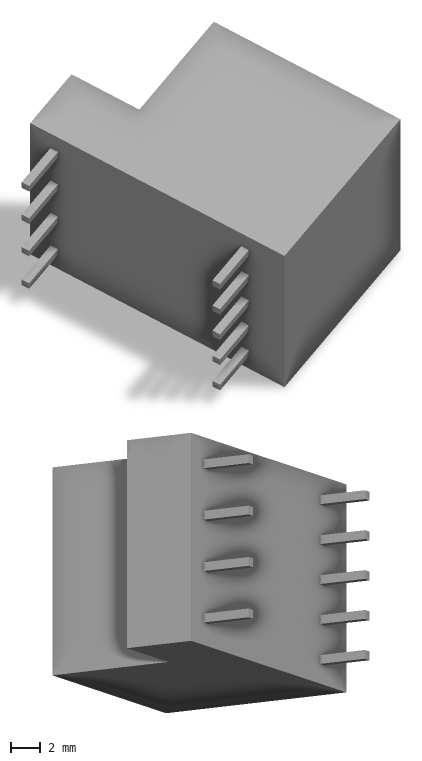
import cadquery as cq

HOUSING_LENGTH = 20.45
HOUSING_DEPTH = 14.0
HOUSING_HEIGHT = 14.2
TALL_BLOCK_LENGTH = 15.0
STEP_LENGTH = HOUSING_LENGTH - TALL_BLOCK_LENGTH
STEP_DEPTH = 5.0

PIN_WIDTH = 0.6
PIN_LENGTH = 3.5
STEP_ROW_X = 1.945
STEP_ROW_COUNT = 4
STEP_ROW_PITCH = 3.51
FAR_ROW_X = 17.29
FAR_ROW_COUNT = 5
FAR_ROW_PITCH = 2.725

PAD_LENGTH = 1.48
PAD_WIDTH = 1.0
PAD_DEPTH = 0.5
PAD_END_INSET = 0.47
STEP_PAD_Z = 3.5
CORNER_PAD_SIDE_INSET = 0.6
CORNER_PAD_ROUNDING = 0.5

SIDES = (1, -1)


def make_housing_block():
    """L-shaped block, extruded along Z both ways from the middle plane."""
    return (
        cq.Workplane("XY")
        .polyline([
            (0, 0),
            (HOUSING_LENGTH, 0),
            (HOUSING_LENGTH, HOUSING_DEPTH),
            (STEP_LENGTH, HOUSING_DEPTH),
            (STEP_LENGTH, STEP_DEPTH),
            (0, STEP_DEPTH),
        ])
        .close()
        .extrude(HOUSING_HEIGHT / 2, both=True)
    )


def make_pin_row(x, count, pitch):
    """Row of square pins along Z, pointing toward -Y from the mounting face."""
    first_z = -pitch * (count - 1) / 2
    pin_centres = [(x, first_z + i * pitch) for i in range(count)]
    return (
        cq.Workplane("XZ")
        .pushPoints(pin_centres)
        .rect(PIN_WIDTH, PIN_WIDTH)
        .extrude(PIN_LENGTH)
    )


def make_step_pad(side):
    """D-shaped pad near the step end, its round end pointing toward +X."""
    round_end_x = PAD_END_INSET + PAD_LENGTH
    arc_start_x = round_end_x - PAD_WIDTH / 2
    centre_z = side * STEP_PAD_Z
    low_z = centre_z - PAD_WIDTH / 2
    high_z = centre_z + PAD_WIDTH / 2
    return (
        cq.Workplane("XZ")
        .moveTo(PAD_END_INSET, low_z)
        .lineTo(arc_start_x, low_z)
        .threePointArc((round_end_x, centre_z), (arc_start_x, high_z))
        .lineTo(PAD_END_INSET, high_z)
        .close()
        .extrude(-PAD_DEPTH)
    )


def make_corner_pad(side):
    """Upright pad in a far corner, rounded on its corner nearest the housing centre."""
    centre_x = HOUSING_LENGTH - PAD_END_INSET - PAD_WIDTH / 2
    centre_z = side * (HOUSING_HEIGHT / 2 - CORNER_PAD_SIDE_INSET - PAD_LENGTH / 2)
    inner_edge = "<Z" if side > 0 else ">Z"
    return (
        cq.Workplane("XZ", origin=(centre_x, 0, centre_z))
        .rect(PAD_WIDTH, PAD_LENGTH)
        .extrude(-PAD_DEPTH)
        .faces("<X")
        .edges(inner_edge)
        .fillet(CORNER_PAD_ROUNDING)
    )


step_pads = [make_step_pad(side) for side in SIDES]
corner_pads = [make_corner_pad(side) for side in SIDES]
pads = step_pads + corner_pads

housing = make_housing_block()
housing = housing.union(make_pin_row(STEP_ROW_X, STEP_ROW_COUNT, STEP_ROW_PITCH))
housing = housing.union(make_pin_row(FAR_ROW_X, FAR_ROW_COUNT, FAR_ROW_PITCH))
for pad in pads:
    housing = housing.cut(pad)

result = cq.Compound.makeCompound([housing.val(), *[pad.val() for pad in pads]])